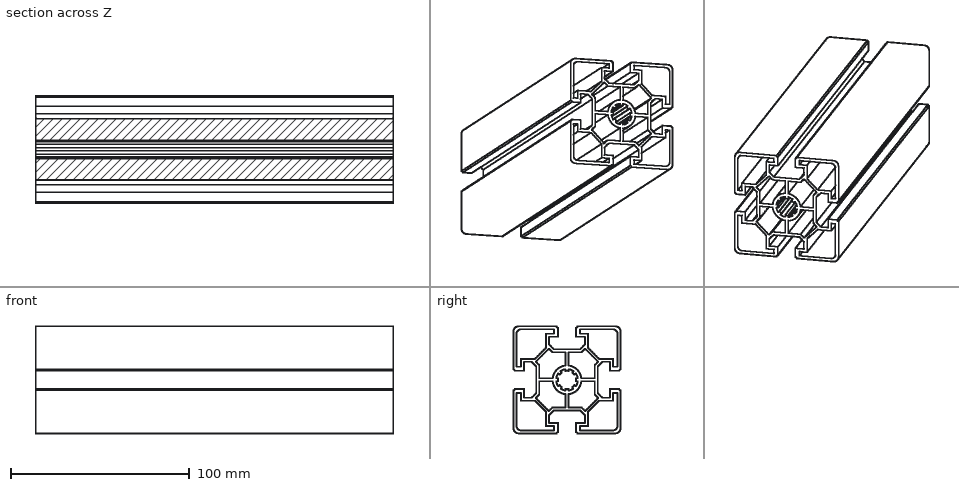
import cadquery as cq
import math

length = 200.0
side = 60.0
side_count = 4
wall = 1.8
corner_radius = 3.0

mouth_half_width = 5.0
mouth_edge_radius = 0.8
lip_depth = 6.0
lip_end_wall = 2.4
slot_half_width = 10.0
slot_floor = 17.2
slot_chamfer = 2.6

cavity_corner_radius = 2.5

core_outer_radius = 8.1
core_bore_radius = 6.0
rib_tip_radius = 5.0
rib_width = 1.8
rib_count = 8
spoke_width = 1.8
diagonal_web = 1.5
web_outer_sum = 29.7

half_side = side / 2
lip_inner = half_side - lip_depth
cavity_outer = half_side - wall
cavity_lip = lip_inner + wall
cavity_inner = slot_half_width + wall
cavity_mouth = mouth_half_width + lip_end_wall
chamber_wall = slot_floor - wall
slot_offset = slot_floor - (slot_half_width - slot_chamfer)
chamber_offset = slot_offset - wall * math.sqrt(2)
web_inner_sum = web_outer_sum - diagonal_web * math.sqrt(2)


def prism(points):
    """Extrude a closed (y, z) outline over the full length."""
    return cq.Workplane("YZ").polyline(points).close().extrude(length)


def rod(radius):
    return cq.Workplane("YZ").circle(radius).extrude(length)


def swapped(points):
    """Mirror an outline about the y = z diagonal, keeping its direction of travel."""
    return [(z, y) for y, z in reversed(points)]


def bar():
    """Solid square bar with rounded long edges."""
    return cq.Workplane("YZ").rect(side, side).extrude(length).edges("|X").fillet(corner_radius)


def slot():
    """T-slot opening towards +Z, with rounded mouth edges."""
    half_outline = [
        (mouth_half_width, lip_inner),
        (slot_half_width, lip_inner),
        (slot_half_width, slot_floor + slot_chamfer),
        (slot_half_width - slot_chamfer, slot_floor),
    ]
    r = mouth_edge_radius
    profile = (
        cq.Workplane("YZ")
        .moveTo(-mouth_half_width - r, half_side)
        .radiusArc((-mouth_half_width, half_side - r), -r)
    )
    for y, z in half_outline:
        profile = profile.lineTo(-y, z)
    for y, z in reversed(half_outline):
        profile = profile.lineTo(y, z)
    return (
        profile.lineTo(mouth_half_width, half_side - r)
        .radiusArc((mouth_half_width + r, half_side), -r)
        .close()
        .extrude(length)
    )


def corner_cavity():
    """Hollow of the +Y +Z corner, mirrored about its diagonal."""
    web_end = web_outer_sum - cavity_inner
    upper_half = [
        (cavity_inner, web_end),
        (cavity_inner, cavity_lip),
        (cavity_mouth, cavity_lip),
        (cavity_mouth, cavity_outer),
    ]
    cavity = prism(upper_half + [(cavity_outer, cavity_outer)] + swapped(upper_half))
    outer_edge = cq.selectors.NearestToPointSelector((length / 2, cavity_outer, cavity_outer))
    return cavity.edges(outer_edge).fillet(cavity_corner_radius)


def chamber():
    """Hollow of the +Y +Z quadrant between the core tube and the webs."""
    spoke_face = spoke_width / 2
    web_end = (web_inner_sum - chamber_offset) / 2
    upper_half = [
        (spoke_face, chamber_wall),
        (chamber_wall - chamber_offset, chamber_wall),
        (web_end, web_end + chamber_offset),
    ]
    hollow = prism([(spoke_face, spoke_face)] + upper_half + swapped(upper_half))
    return hollow.cut(rod(core_outer_radius))


def core_bore():
    """Bore of the core tube, leaving thread ribs that end on a smaller circle."""
    bore = rod(core_bore_radius)
    rib_reach = (core_bore_radius + core_outer_radius) / 2
    rib = cq.Workplane("YZ").center(0, rib_reach / 2).rect(rib_width, rib_reach).extrude(length)
    for i in range(rib_count):
        bore = bore.cut(rib.rotate((0, 0, 0), (1, 0, 0), i * 360 / rib_count))
    return bore.union(rod(rib_tip_radius))


def on_four_sides(body, tool):
    """Cut the tool at each quarter turn about the profile axis."""
    for i in range(side_count):
        body = body.cut(tool.rotate((0, 0, 0), (1, 0, 0), i * 360 / side_count))
    return body


result = bar()
for hollow in (slot(), corner_cavity(), chamber()):
    result = on_four_sides(result, hollow)
result = result.cut(core_bore())